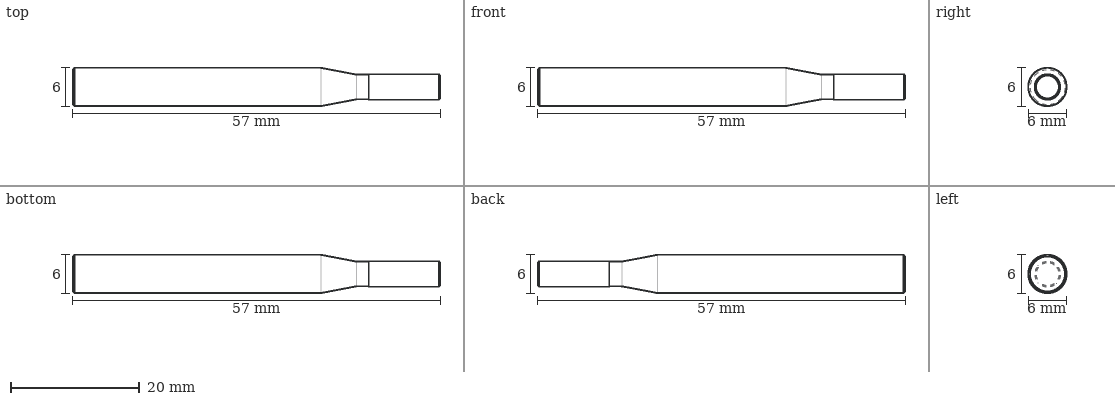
import cadquery as cq

total_length = 57.0
shank_diameter = 6.0
head_diameter = 4.0
neck_diameter = 3.9
shank_length = 38.5
taper_length = 5.55
neck_length = 1.95
shank_chamfer = 0.3
head_chamfer = 0.2

shank_radius = shank_diameter / 2
head_radius = head_diameter / 2
neck_radius = neck_diameter / 2
taper_end = shank_length + taper_length
head_start = taper_end + neck_length

half_profile = (
    cq.Workplane("XY")
    .moveTo(0, 0)
    .lineTo(0, shank_radius - shank_chamfer)
    .lineTo(shank_chamfer, shank_radius)
    .lineTo(shank_length, shank_radius)
    .lineTo(taper_end, neck_radius)
    .lineTo(head_start, neck_radius)
    .lineTo(head_start, head_radius)
    .lineTo(total_length - head_chamfer, head_radius)
    .lineTo(total_length, head_radius - head_chamfer)
    .lineTo(total_length, 0)
    .close()
)

result = half_profile.revolve(360, (0, 0, 0), (1, 0, 0))